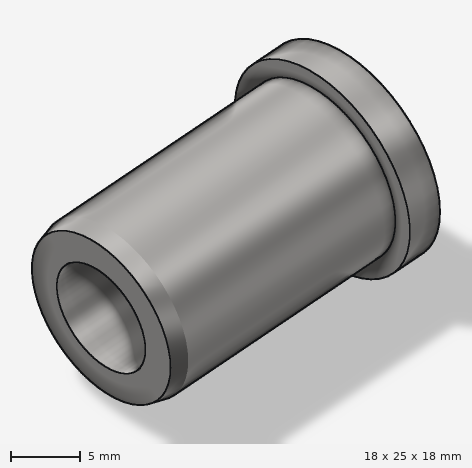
import cadquery as cq
import math

flange_diameter = 18.0
flange_thickness = 3.0
body_diameter = 15.0
bore_diameter = 9.1
total_length = 25.0

lead_length = 1.4
lead_angle = 15.0

flange_radius = flange_diameter / 2
body_radius = body_diameter / 2
bore_radius = bore_diameter / 2
tip_radius = body_radius - lead_length * math.tan(math.radians(lead_angle))

tip_y = flange_thickness - total_length
lead_y = tip_y + lead_length


def make_bush():
    """Revolve the half section (radius along X) about the Y axis."""
    section = [
        (bore_radius, tip_y),
        (tip_radius, tip_y),
        (body_radius, lead_y),
        (body_radius, 0),
        (flange_radius, 0),
        (flange_radius, flange_thickness),
        (bore_radius, flange_thickness),
    ]
    return cq.Workplane("XY").polyline(section).close().revolve(360, (0, 0, 0), (0, 1, 0))


result = make_bush()